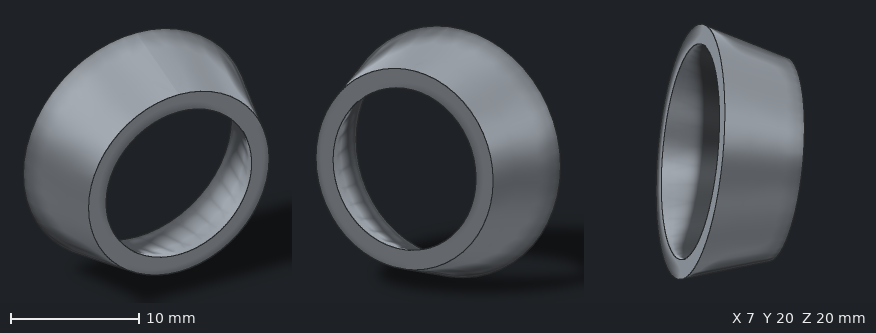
import cadquery as cq

length = 7.0
wide_outer_radius = 10.0
narrow_outer_radius = 8.0
wall = 1.55

wide_inner_radius = wide_outer_radius - wall
narrow_inner_radius = narrow_outer_radius - wall


def split_circle(x, radius):
    """Circle of two half arcs that meet at the bottom and the top."""
    bottom = (0, -radius)
    top = (0, radius)
    return (
        cq.Workplane("YZ", origin=(x, 0, 0))
        .moveTo(*bottom)
        .threePointArc((radius, 0), top)
        .threePointArc((-radius, 0), bottom)
        .close()
        .wires()
        .val()
    )


def split_cone(wide_radius, narrow_radius):
    """Cone frustum along X, made of two half cones."""
    ends = [split_circle(0, wide_radius), split_circle(length, narrow_radius)]
    return cq.Workplane(cq.Solid.makeLoft(ends, False))


outer_body = split_cone(wide_outer_radius, narrow_outer_radius)
bore = split_cone(wide_inner_radius, narrow_inner_radius)

result = outer_body.cut(bore, clean=False)